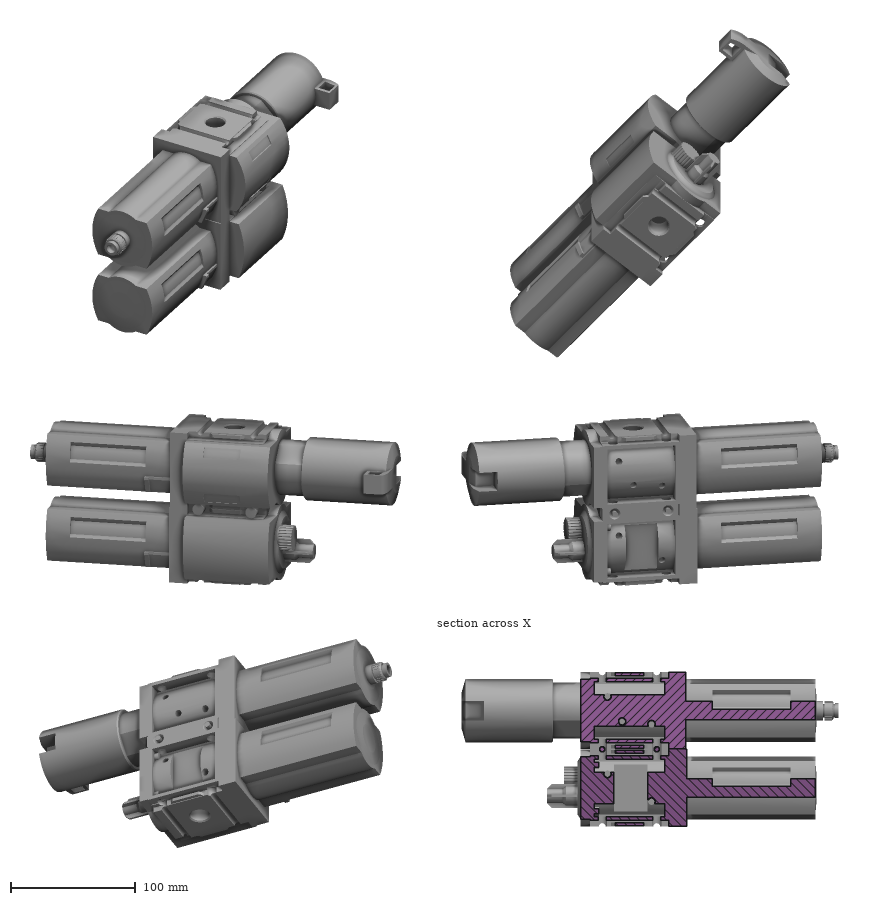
import cadquery as cq
import math


BLOCK_WIDTH = 62.8
STACK_HEIGHT = 124.0
MODULE_HEIGHT = STACK_HEIGHT / 2
HALF_WIDTH = BLOCK_WIDTH / 2
HALF_HEIGHT = MODULE_HEIGHT / 2
UPPER_FRONT_Y = -28.7
LOWER_FRONT_Y = -29.5
FLANGE_BACK_Y = -14.8
PLATE_BACK_Y = 48.0
BLOCK_BACK_Y = 55.5
CORE_HALF_HEIGHT = 26.0
BACK_HALF_HEIGHT = 25.5
HUMP_HALF_WIDTH = 15.0
HUMP_HEIGHT = 30.8

PLATE_HALF_WIDTH = 24.0
PORT_Y = 16.5
PORT_DIAMETER = 15.7
PORT_MOUTH_DIAMETER = 17.8
PORT_DEPTH = 18.0
GROOVE_YS = (38.3, -5.5)
GROOVE_DIAMETER = 5.5
CORNER_WIDTH = 3.5
CORNER_LENGTH = 9.0
CORNER_HEIGHT = 26.5
WING_WIDTH = 3.0
WING_LENGTH = 29.0
WING_BOTTOM = 27.8
WING_TOP = 30.5
ACCESS_DIAMETER = 7.8
ACCESS_X = -24.5

WINDOW_FRONT_Y = -11.5
WINDOW_BACK_Y = 44.5
WINDOW_HALF_HEIGHT = 23.0
WINDOW_FLOOR_X = -21.0
BARREL_RADIUS = 30.0
BARREL_HOLE_DIAMETER = 5.5
BARREL_HOLE_FLOOR_X = -18.0
SHARED_BARREL_HOLES = ((34.0, 11.2), (-1.2, -11.0))
UPPER_BARREL_HOLE = (22.3, -8.8)
LABEL_FRONT_Y = 2.0
LABEL_BACK_Y = 28.7
LABEL_FLOOR_X = -23.2
POST_RADIUS = 3.5
POST_LENGTH = 3.5
POST_Z = 18.7
POST_X = -24.0

COVER_FRONT_Y = -14.8
UPPER_COVER_SHOULDER_X = 37.7
UPPER_COVER_CROWN_X = 46.2
LOWER_COVER_SHOULDER_X = 39.8
LOWER_COVER_CROWN_X = 45.0
COVER_STRIP_FRONT_Y = 1.5
COVER_STRIP_BACK_Y = 31.7
COVER_STRIP_Z = (14.8, 22.5)
COVER_STRIP_DEPTH = 1.0

BOWL_FRONT_Y = -132.5
BOWL_HALF_WIDTH = 27.8
BOWL_FLAT_HALF_WIDTH = 22.3
BOWL_FLAT_HALF_HEIGHT = 21.5
BOWL_ROUND_HALF_WIDTH = 12.5
BOWL_ROUND_HEIGHT = 25.5
SIGHT_FRONT_Y = -112.5
SIGHT_BACK_Y = -50.0
SIGHT_FLOOR_RADIUS = 26.3
LENS_RADIUS = 21.7
LENS_FACE_RADIUS = 11.8
LENS_FRONT_Y = -133.5
BUTTON_FRONT_Y = -50.5
BUTTON_NOSE_LENGTH = 3.5

DRAIN_RADIUS = 7.8
DRAIN_NECK_RADIUS = 5.5
DRAIN_TIP_RADIUS = 11.8 / 2
DRAIN_BORE_DIAMETER = 7.5
DRAIN_BASE_FRONT_Y = -139.0
DRAIN_KNURL_BACK_Y = -140.0
DRAIN_KNURL_FRONT_Y = -147.0
DRAIN_TIP_BACK_Y = -148.2
DRAIN_FRONT_Y = -151.0
DRAIN_KNURL_CHAMFER = 1.2
DRAIN_KNURL_COUNT = 20
DRAIN_KNURL_SIZE = 1.0

NECK_RADIUS = 22.3
NECK_FLAT_DISTANCE = 40.8 / 2
KNOB_RADIUS = 51.0 / 2
KNOB_FRONT_Y = 77.5
KNOB_CHAMFER = 1.0
KNOB_RIM_Y = 148.0
KNOB_BACK_Y = 151.0
KNOB_FACE_RADIUS = 15.0
LOCK_HALF_HEIGHT = 7.8
LOCK_FRONT_Y = 133.0
LOCK_SLOT_FLOOR_X = -9.0
LOCK_LOOP_X = 38.5
LOCK_EYE_FRONT_Y = 135.8
LOCK_EYE_BACK_YS = (146.7, 145.2)
LOCK_EYE_X = (27.0, 36.8)

DOME_RADIUS = 25.5
DOME_FACE_RADIUS = 21.0
DOME_BACK_Y = 58.3
CAP_X = 11.8
CAP_Z = 7.0
CAP_RADIUS = 10.3
CAP_BACK_Y = 68.8
CAP_FLUTE_COUNT = 24
CAP_FLUTE_DIAMETER = 1.5
PLUG_X = -1.0
PLUG_Z = -6.3
PLUG_BASE_RADIUS = 7.8
PLUG_BASE_Y = 67.3
PLUG_TIP_RADIUS = 5.7
PLUG_TIP_Y = 70.0
PLUG_BACK_Y = 82.5
PLUG_BLADE_WIDTH = 19.3
PLUG_BLADE_THICKNESS = 1.8
PLUG_BLADE_CHAMFER = 3.5

BAR_THICKNESS = 4.2
BAR_FRONT_Y = -14.0
BAR_BACK_Y = 48.5
SCREW_TIP_X = -33.2
SCREW_DIAMETER = 4.5
SCREW_HEAD_X = 32.5
SCREW_HEAD_DIAMETER = 9.0
BAR_SINK_DIAMETER = 9.0


def box(x0, x1, y0, y1, z0, z1):
    """Box given by its limits on each axis."""
    return cq.Workplane("XY").box(x1 - x0, y1 - y0, z1 - z0, centered=False).translate((x0, y0, z0))


def section(back_y):
    """XZ sketch plane at back_y; extruding it goes toward -Y."""
    return cq.Workplane("XZ", origin=(0, back_y, 0))


def rod(x, z, radius, y0, y1):
    """Cylinder along Y."""
    return section(y1).center(x, z).circle(radius).extrude(y1 - y0)


def turned(points):
    """Solid turned about the Y axis from (radius, y) points."""
    return cq.Workplane("XY").polyline(points).close().revolve(360, (0, 0, 0), (0, 1, 0))


def around_y(shape, count):
    """The copies of a shape spread evenly around the Y axis, as one cutting tool."""
    copies = shape
    for i in range(1, count):
        copies = copies.union(shape.rotate((0, 0, 0), (0, 1, 0), i * 360 / count))
    return copies



def port_plate():
    """Plate on top of the block with port, clamping grooves, side wings and lowered back corners."""
    w = PLATE_HALF_WIDTH
    plate = box(-w, w, FLANGE_BACK_Y, PLATE_BACK_Y, CORE_HALF_HEIGHT, HALF_HEIGHT)
    for y in GROOVE_YS:
        plate = plate.cut(
            cq.Workplane("YZ", origin=(-w, y, HALF_HEIGHT)).circle(GROOVE_DIAMETER / 2).extrude(2 * w)
        )
    for side in (-1, 1):
        outer, inner = side * w, side * (w - CORNER_WIDTH)
        plate = plate.cut(box(min(outer, inner), max(outer, inner), PLATE_BACK_Y - CORNER_LENGTH,
                              PLATE_BACK_Y, CORNER_HEIGHT, HALF_HEIGHT))
        plate = plate.union(
            cq.Workplane("XY", origin=(0, PORT_Y, WING_BOTTOM))
            .moveTo(outer, -WING_LENGTH / 2)
            .lineTo(outer + side * WING_WIDTH, -WING_LENGTH / 2 + WING_WIDTH)
            .lineTo(outer + side * WING_WIDTH, WING_LENGTH / 2 - WING_WIDTH)
            .lineTo(outer, WING_LENGTH / 2)
            .close()
            .extrude(WING_TOP - WING_BOTTOM)
        )
    return plate


def port_hole():
    """Blind port with a chamfered mouth."""
    mouth_depth = (PORT_MOUTH_DIAMETER - PORT_DIAMETER) / 2
    bore = cq.Workplane("XY", origin=(0, PORT_Y, HALF_HEIGHT - PORT_DEPTH)).circle(PORT_DIAMETER / 2)
    mouth = cq.Workplane(cq.Solid.makeCone(
        PORT_DIAMETER / 2, PORT_MOUTH_DIAMETER / 2, mouth_depth,
        cq.Vector(0, PORT_Y, HALF_HEIGHT - mouth_depth), cq.Vector(0, 0, 1)))
    return bore.extrude(PORT_DEPTH).union(mouth)


def access_holes():
    """Upright holes from the window through the wall at the -X end of each clamping groove."""
    return (
        cq.Workplane("XY", origin=(ACCESS_X, 0, WINDOW_HALF_HEIGHT))
        .pushPoints([(0, y) for y in GROOVE_YS])
        .circle(ACCESS_DIAMETER / 2)
        .extrude(HALF_HEIGHT - WINDOW_HALF_HEIGHT)
    )


def back_plate():
    """Back of the block: flat sides with a rounded hump at top and bottom."""
    return (
        section(BLOCK_BACK_Y)
        .moveTo(-HALF_WIDTH, -BACK_HALF_HEIGHT)
        .lineTo(-HUMP_HALF_WIDTH, -BACK_HALF_HEIGHT)
        .threePointArc((0, -HUMP_HEIGHT), (HUMP_HALF_WIDTH, -BACK_HALF_HEIGHT))
        .lineTo(HALF_WIDTH, -BACK_HALF_HEIGHT)
        .lineTo(HALF_WIDTH, BACK_HALF_HEIGHT)
        .lineTo(HUMP_HALF_WIDTH, BACK_HALF_HEIGHT)
        .threePointArc((0, HUMP_HEIGHT), (-HUMP_HALF_WIDTH, BACK_HALF_HEIGHT))
        .lineTo(-HALF_WIDTH, BACK_HALF_HEIGHT)
        .close()
        .extrude(BLOCK_BACK_Y - PLATE_BACK_Y)
    )


def window_pocket(barrel_holes):
    """Tool for the side window, which leaves the round barrel standing inside."""
    h = WINDOW_HALF_HEIGHT
    pocket = box(-HALF_WIDTH, WINDOW_FLOOR_X, WINDOW_FRONT_Y, WINDOW_BACK_Y, -h, h)
    pocket = pocket.cut(rod(0, 0, BARREL_RADIUS, WINDOW_FRONT_Y, WINDOW_BACK_Y))
    holes = (
        cq.Workplane("YZ", origin=(-HALF_WIDTH, 0, 0))
        .pushPoints(barrel_holes)
        .circle(BARREL_HOLE_DIAMETER / 2)
        .extrude(BARREL_HOLE_FLOOR_X + HALF_WIDTH)
    )
    return pocket.union(holes)


def block(front_y, barrel_holes):
    """Module block with front flange, port plates, back plate and side window."""
    w, c, h = HALF_WIDTH, CORE_HALF_HEIGHT, HALF_HEIGHT
    body = box(-w, w, front_y, FLANGE_BACK_Y, -h, h)
    body = body.union(box(-w, w, FLANGE_BACK_Y, PLATE_BACK_Y, -c, c)).union(back_plate())
    plate = port_plate()
    body = body.union(plate).union(plate.mirror("XY"))
    for tool in (port_hole(), access_holes()):
        body = body.cut(tool).cut(tool.mirror("XY"))
    return body.cut(window_pocket(barrel_holes))


def cover_shape(shoulder_x, crown_x, back_y, front_y):
    """Slab along Y with flat sides up to the shoulders and an arc through the crown."""
    h = BACK_HALF_HEIGHT
    return (
        section(back_y)
        .moveTo(HALF_WIDTH, -h)
        .lineTo(shoulder_x, -h)
        .threePointArc((crown_x, 0), (shoulder_x, h))
        .lineTo(HALF_WIDTH, h)
        .close()
        .extrude(back_y - front_y)
    )


def cover(shoulder_x, crown_x):
    """Curved side cover."""
    return cover_shape(shoulder_x, crown_x, BLOCK_BACK_Y, COVER_FRONT_Y)


def cover_strips(shoulder_x, crown_x):
    """Tool for two shallow strips that follow the curve of a cover near its shoulders."""
    y0, y1 = COVER_STRIP_FRONT_Y, COVER_STRIP_BACK_Y
    z0, z1 = COVER_STRIP_Z
    floor = cover_shape(shoulder_x - COVER_STRIP_DEPTH, crown_x - COVER_STRIP_DEPTH, y1, y0)
    strip = box(HALF_WIDTH, crown_x, y0, y1, z0, z1).cut(floor)
    return strip.union(strip.mirror("XY"))



SIDE_RADIUS = (
    (BOWL_FLAT_HALF_HEIGHT ** 2 + (BOWL_HALF_WIDTH - BOWL_FLAT_HALF_WIDTH) ** 2)
    / (2 * (BOWL_HALF_WIDTH - BOWL_FLAT_HALF_WIDTH))
)


def side_x(z):
    """X of the bowl's rounded +X side at height z."""
    return BOWL_HALF_WIDTH - SIDE_RADIUS + math.sqrt(SIDE_RADIUS ** 2 - z ** 2)


def sight_window():
    """Recess in the rounded +X side of the bowl, with a round floor and sloping side walls."""
    mouth_low, mouth_high = 0.3, 16.3
    floor_low, floor_high = 2.7, 13.0
    margin = 1.5

    def floor_point(z):
        return (math.sqrt(SIGHT_FLOOR_RADIUS ** 2 - z ** 2), z)

    return (
        section(SIGHT_BACK_Y)
        .moveTo(*floor_point(floor_low))
        .threePointArc(floor_point((floor_low + floor_high) / 2), floor_point(floor_high))
        .lineTo(side_x(mouth_high), mouth_high)
        .lineTo(BOWL_HALF_WIDTH + margin, mouth_high)
        .lineTo(BOWL_HALF_WIDTH + margin, mouth_low)
        .lineTo(side_x(mouth_low), mouth_low)
        .close()
        .extrude(SIGHT_BACK_Y - SIGHT_FRONT_Y)
    )


def bowl_button(front_y):
    """Latch strip on the lower +X side of the bowl, ending in a raised nose."""
    top_z, bottom_z = -7.5, -20.8
    root = 1.2
    strip_x = (28.7, 24.0)
    nose_x = (30.8, 26.0)
    nose_top_z = -9.7

    def strip(outer_x, corner_z, back_y):
        return (
            section(back_y)
            .polyline([
                (side_x(top_z) - root, top_z),
                (outer_x[0], top_z),
                (outer_x[0], corner_z),
                (outer_x[1], bottom_z),
                (side_x(bottom_z) - root, bottom_z),
            ])
            .close()
            .extrude(back_y - BUTTON_FRONT_Y)
        )

    nose_back_y = BUTTON_FRONT_Y + BUTTON_NOSE_LENGTH
    return strip(strip_x, nose_top_z, front_y).union(strip(nose_x, nose_top_z, nose_back_y))


def bowl(front_y):
    """Bowl with rounded sides, top and bottom, sight windows, end lens and latch button."""
    w, fw, rw = BOWL_HALF_WIDTH, BOWL_FLAT_HALF_WIDTH, BOWL_ROUND_HALF_WIDTH
    fh, rh = BOWL_FLAT_HALF_HEIGHT, BOWL_ROUND_HEIGHT
    body = (
        section(front_y)
        .moveTo(-fw, -fh)
        .lineTo(-rw, -fh)
        .threePointArc((0, -rh), (rw, -fh))
        .lineTo(fw, -fh)
        .threePointArc((w, 0), (fw, fh))
        .lineTo(rw, fh)
        .threePointArc((0, rh), (-rw, fh))
        .lineTo(-fw, fh)
        .threePointArc((-w, 0), (-fw, -fh))
        .close()
        .extrude(front_y - BOWL_FRONT_Y)
    )
    window = sight_window()
    body = body.cut(window).cut(window.mirror("YZ"))
    lens = turned([(0, BOWL_FRONT_Y), (LENS_RADIUS, BOWL_FRONT_Y),
                   (LENS_FACE_RADIUS, LENS_FRONT_Y), (0, LENS_FRONT_Y)])
    return body.union(lens).union(bowl_button(front_y))


def drain():
    """Drain screw: plain base, knurled ring and hollow flanged tip."""
    screw = turned([
        (0, LENS_FRONT_Y),
        (DRAIN_RADIUS, LENS_FRONT_Y),
        (DRAIN_RADIUS, DRAIN_BASE_FRONT_Y),
        (DRAIN_NECK_RADIUS, DRAIN_BASE_FRONT_Y),
        (DRAIN_NECK_RADIUS, DRAIN_KNURL_BACK_Y),
        (DRAIN_RADIUS, DRAIN_KNURL_BACK_Y),
        (DRAIN_RADIUS, DRAIN_KNURL_FRONT_Y + DRAIN_KNURL_CHAMFER),
        (DRAIN_RADIUS - DRAIN_KNURL_CHAMFER, DRAIN_KNURL_FRONT_Y),
        (DRAIN_NECK_RADIUS, DRAIN_KNURL_FRONT_Y),
        (DRAIN_NECK_RADIUS, DRAIN_TIP_BACK_Y),
        (DRAIN_TIP_RADIUS, DRAIN_TIP_BACK_Y),
        (DRAIN_TIP_RADIUS, DRAIN_FRONT_Y),
        (0, DRAIN_FRONT_Y),
    ])
    s = DRAIN_KNURL_SIZE / 2
    groove = box(DRAIN_RADIUS - s, DRAIN_RADIUS + s, DRAIN_KNURL_FRONT_Y, DRAIN_KNURL_BACK_Y, -s, s)
    screw = screw.cut(around_y(groove, DRAIN_KNURL_COUNT))
    return screw.cut(rod(0, 0, DRAIN_BORE_DIAMETER / 2, DRAIN_FRONT_Y, DRAIN_BASE_FRONT_Y))



def knob_neck():
    """Round neck with two parallel flats at 45 degrees."""
    neck = rod(0, 0, NECK_RADIUS, BLOCK_BACK_Y, KNOB_FRONT_Y)
    flats = box(-NECK_FLAT_DISTANCE, NECK_FLAT_DISTANCE, BLOCK_BACK_Y, KNOB_FRONT_Y,
                -NECK_RADIUS, NECK_RADIUS).rotate((0, 0, 0), (0, 1, 0), -45)
    return neck.intersect(flats)


def knob():
    """Knob with a conical end, a lock slot on the -X side and a lock loop on the +X side."""
    body = turned([
        (0, KNOB_FRONT_Y),
        (KNOB_RADIUS - KNOB_CHAMFER, KNOB_FRONT_Y),
        (KNOB_RADIUS, KNOB_FRONT_Y + KNOB_CHAMFER),
        (KNOB_RADIUS, KNOB_RIM_Y),
        (KNOB_FACE_RADIUS, KNOB_BACK_Y),
        (0, KNOB_BACK_Y),
    ])
    h = LOCK_HALF_HEIGHT
    slot = (
        cq.Workplane("XY", origin=(0, 0, -h))
        .polyline([
            (-KNOB_RADIUS, LOCK_FRONT_Y),
            (LOCK_SLOT_FLOOR_X, LOCK_FRONT_Y),
            (LOCK_SLOT_FLOOR_X, KNOB_RIM_Y),
            (LOCK_SLOT_FLOOR_X + KNOB_RADIUS - KNOB_FACE_RADIUS, KNOB_BACK_Y),
            (-KNOB_RADIUS, KNOB_BACK_Y),
        ])
        .close()
        .extrude(2 * h)
    )
    body = body.cut(slot)
    loop_root_x = 12.0
    arc_start_x, arc_mid_x, arc_mid_y = 27.2, 33.8, 150.0
    loop = (
        cq.Workplane("XY", origin=(0, 0, -h))
        .moveTo(loop_root_x, LOCK_FRONT_Y)
        .lineTo(LOCK_LOOP_X, LOCK_FRONT_Y)
        .lineTo(LOCK_LOOP_X, KNOB_RIM_Y)
        .threePointArc((arc_mid_x, arc_mid_y), (arc_start_x, KNOB_BACK_Y))
        .lineTo(loop_root_x, KNOB_BACK_Y)
        .close()
        .extrude(2 * h)
    )
    inner_x, outer_x = LOCK_EYE_X
    inner_back_y, outer_back_y = LOCK_EYE_BACK_YS
    eye = (
        cq.Workplane("XY", origin=(0, 0, -h))
        .polyline([
            (inner_x, LOCK_EYE_FRONT_Y),
            (outer_x, LOCK_EYE_FRONT_Y),
            (outer_x, outer_back_y),
            (inner_x, inner_back_y),
        ])
        .close()
        .extrude(2 * h)
    )
    return body.union(loop).cut(eye)



def dosing_plug():
    """Stepped round plug with two crossed grip blades."""
    core = turned([
        (0, BLOCK_BACK_Y),
        (PLUG_BASE_RADIUS, BLOCK_BACK_Y),
        (PLUG_BASE_RADIUS, PLUG_BASE_Y),
        (PLUG_TIP_RADIUS, PLUG_TIP_Y),
        (PLUG_TIP_RADIUS, PLUG_BACK_Y),
        (0, PLUG_BACK_Y),
    ])
    w, t = PLUG_BLADE_WIDTH / 2, PLUG_BLADE_THICKNESS / 2
    blade = box(-w, w, BLOCK_BACK_Y, PLUG_BACK_Y, -t, t)
    blade = blade.faces(">Y").edges("<X or >X").chamfer(PLUG_BLADE_CHAMFER)
    plug = core.union(blade).union(blade.rotate((0, 0, 0), (0, 1, 0), 90))
    return plug.translate((PLUG_X, 0, PLUG_Z))


def oil_cap():
    """Fluted filler cap."""
    cap = rod(0, 0, CAP_RADIUS, BLOCK_BACK_Y, CAP_BACK_Y)
    flute = rod(CAP_RADIUS, 0, CAP_FLUTE_DIAMETER / 2, DOME_BACK_Y, CAP_BACK_Y)
    return cap.cut(around_y(flute, CAP_FLUTE_COUNT)).translate((CAP_X, 0, CAP_Z))


def oil_dome():
    """Low dome on the back of the lower module."""
    return turned([(0, BLOCK_BACK_Y), (DOME_RADIUS, BLOCK_BACK_Y),
                   (DOME_FACE_RADIUS, DOME_BACK_Y), (0, DOME_BACK_Y)])


def window_post(z):
    """Short round post in a back corner of the lower side window."""
    return rod(POST_X, z, POST_RADIUS, WINDOW_BACK_Y - POST_LENGTH, WINDOW_BACK_Y)



def make_regulator():
    """Upper module: filter regulator."""
    shape = block(UPPER_FRONT_Y, [*SHARED_BARREL_HOLES, UPPER_BARREL_HOLE])
    shape = shape.union(cover(UPPER_COVER_SHOULDER_X, UPPER_COVER_CROWN_X))
    shape = shape.cut(cover_strips(UPPER_COVER_SHOULDER_X, UPPER_COVER_CROWN_X))
    shape = shape.union(bowl(UPPER_FRONT_Y)).union(drain())
    shape = shape.union(knob_neck()).union(knob())
    return shape.translate((0, 0, HALF_HEIGHT))


def make_lubricator():
    """Lower module: lubricator with a label flat on its barrel."""
    shape = block(LOWER_FRONT_Y, SHARED_BARREL_HOLES)
    h = WINDOW_HALF_HEIGHT
    shape = shape.cut(box(-BARREL_RADIUS, LABEL_FLOOR_X, LABEL_FRONT_Y, LABEL_BACK_Y, -h, h))
    for z in (-POST_Z, POST_Z):
        shape = shape.union(window_post(z))
    shape = shape.union(cover(LOWER_COVER_SHOULDER_X, LOWER_COVER_CROWN_X))
    shape = shape.union(bowl(LOWER_FRONT_Y))
    shape = shape.union(oil_dome()).union(oil_cap()).union(dosing_plug())
    return shape.translate((0, 0, -HALF_HEIGHT))


def make_clamp_bar():
    """Bar in the channel between the modules, drilled and countersunk for the screws."""
    h = HALF_HEIGHT - CORE_HALF_HEIGHT
    bar = box(-HALF_WIDTH, BAR_THICKNESS - HALF_WIDTH, BAR_FRONT_Y, BAR_BACK_Y, -h, h)
    sink_depth = (BAR_SINK_DIAMETER - SCREW_DIAMETER) / 2
    for y in GROOVE_YS:
        bar = bar.cut(
            cq.Workplane("YZ", origin=(-HALF_WIDTH, y, 0)).circle(SCREW_DIAMETER / 2).extrude(BAR_THICKNESS)
        )
        bar = bar.cut(cq.Workplane(cq.Solid.makeCone(
            BAR_SINK_DIAMETER / 2, SCREW_DIAMETER / 2, sink_depth,
            cq.Vector(-HALF_WIDTH, y, 0), cq.Vector(1, 0, 0))))
    return bar


def make_clamp_screw(y):
    """Screw along X through one pair of facing grooves."""
    def cylinder(x0, x1, diameter):
        return cq.Workplane("YZ", origin=(x0, y, 0)).circle(diameter / 2).extrude(x1 - x0)

    return (
        cylinder(SCREW_TIP_X, PLATE_HALF_WIDTH, SCREW_DIAMETER)
        .union(cylinder(PLATE_HALF_WIDTH, SCREW_HEAD_X, SCREW_HEAD_DIAMETER))
    )


regulator = make_regulator()
lubricator = make_lubricator()
clamp_bar = make_clamp_bar()
clamp_screws = [make_clamp_screw(y) for y in GROOVE_YS]

result = cq.Compound.makeCompound([
    regulator.solids().val(),
    lubricator.solids().val(),
    clamp_bar.solids().val(),
    *[screw.solids().val() for screw in clamp_screws],
])